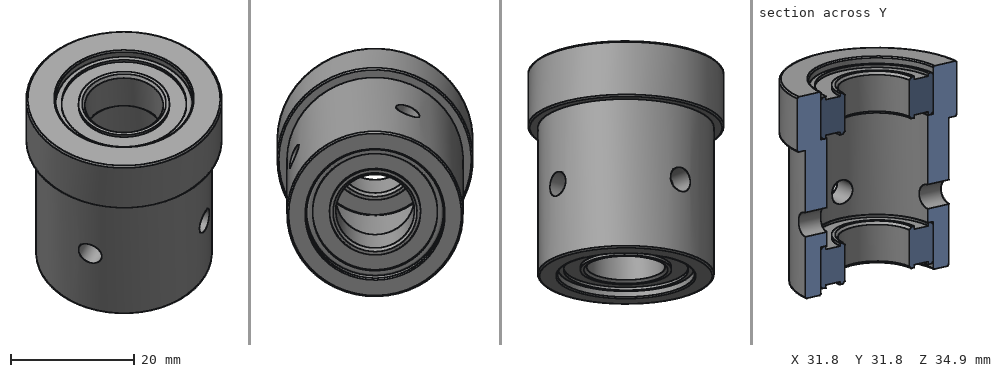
import cadquery as cq

HEIGHT = 34.92
FLANGE_DIAMETER = 31.75
FLANGE_HEIGHT = 9.55
SLEEVE_DIAMETER = 28.55
EDGE_CHAMFER = 0.28
POCKET_CHAMFER = 0.25

CROSS_HOLE_DIAMETER = 4.1
CROSS_HOLE_Z = 12.7

BEARING_DIAMETER = 22.2
BEARING_BORE = 12.7
BEARING_WIDTH = 7.15
BEARING_INSET = 1.05
BEARING_FILLET = 0.45
BEARING_BORE_CHAMFER = 0.45
INNER_RACE_DIAMETER = 14.77
OUTER_RACE_BORE = 20.25
SHIELD_RECESS = 0.5

SHOULDER_BORE = 19.97
POCKET_DEPTH = BEARING_INSET + BEARING_WIDTH


def cylinder(diameter, height, base_z=0.0):
    """Upright cylinder on the Z axis."""
    return cq.Workplane("XY").workplane(offset=base_z).circle(diameter / 2).extrude(height)


def make_pocket():
    """Tool for the bearing pocket in the bottom end, widened at its mouth."""
    mouth = cylinder(BEARING_DIAMETER + 2 * POCKET_CHAMFER, 2 * POCKET_CHAMFER)
    mouth = mouth.faces(">Z").edges().chamfer(POCKET_CHAMFER)
    mouth = mouth.translate((0, 0, -POCKET_CHAMFER))
    return cylinder(BEARING_DIAMETER, POCKET_DEPTH).union(mouth)


def flip_end_for_end(body):
    """Mirror a body from the bottom end of the housing to the top end."""
    return body.mirror("XY", (0, 0, HEIGHT / 2))


def make_cross_hole(plane):
    """Tool that passes through both walls of the sleeve."""
    return (
        cq.Workplane(plane, origin=(0, 0, CROSS_HOLE_Z))
        .circle(CROSS_HOLE_DIAMETER / 2)
        .extrude(SLEEVE_DIAMETER, both=True)
    )


def make_housing():
    sleeve = cylinder(SLEEVE_DIAMETER, HEIGHT).faces("<Z").edges().chamfer(EDGE_CHAMFER)
    flange = cylinder(FLANGE_DIAMETER, FLANGE_HEIGHT, HEIGHT - FLANGE_HEIGHT)
    flange = flange.faces("<Z or >Z").edges().chamfer(EDGE_CHAMFER)
    housing = sleeve.union(flange).cut(cylinder(SHOULDER_BORE, HEIGHT))
    pocket = make_pocket()
    housing = housing.cut(pocket).cut(flip_end_for_end(pocket))
    for plane in ("YZ", "XZ"):
        housing = housing.cut(make_cross_hole(plane))
    return housing


def make_bearing(base_z):
    """Shielded bearing, with a shallow ring recess between its races on both faces."""
    bearing = cylinder(BEARING_DIAMETER, BEARING_WIDTH).cut(cylinder(BEARING_BORE, BEARING_WIDTH))
    bore_edges = cq.selectors.RadiusNthSelector(0)
    rim_edges = cq.selectors.RadiusNthSelector(-1)
    bearing = bearing.edges(bore_edges).chamfer(BEARING_BORE_CHAMFER)
    bearing = bearing.edges(rim_edges).fillet(BEARING_FILLET)
    for recess_z in (0, BEARING_WIDTH - SHIELD_RECESS):
        recess = cylinder(OUTER_RACE_BORE, SHIELD_RECESS, recess_z)
        recess = recess.cut(cylinder(INNER_RACE_DIAMETER, SHIELD_RECESS, recess_z))
        bearing = bearing.cut(recess)
    return bearing.translate((0, 0, base_z))


housing = make_housing()
bearings = [make_bearing(base_z) for base_z in (BEARING_INSET, HEIGHT - POCKET_DEPTH)]

result = cq.Compound.makeCompound([housing.val(), *[bearing.val() for bearing in bearings]])